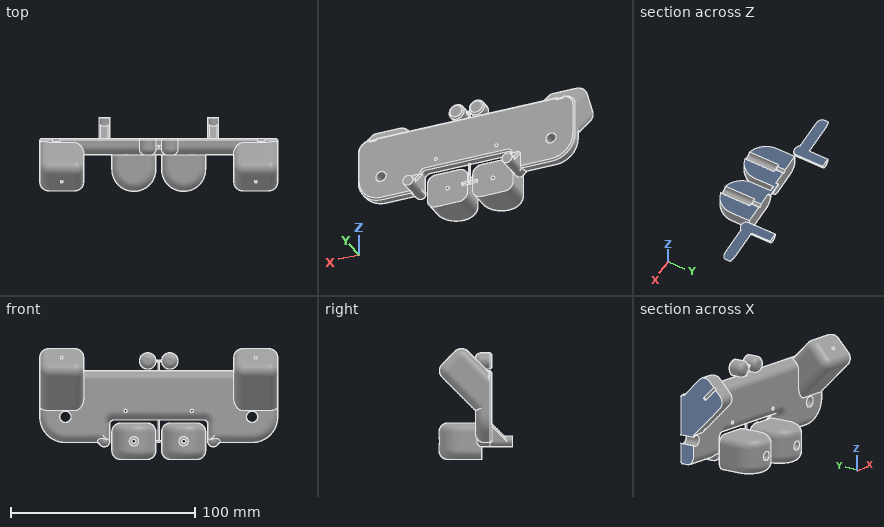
import cadquery as cq
import math

PLATE_WIDTH = 129.2
PLATE_HEIGHT = 39.0
PLATE_DEPTH = 9.0
FRONT_ROUND = 5.0
BACK_CHAMFER = 1.0
TOP_CORNER_RADIUS = 7.0
BOTTOM_CORNER_RADIUS = 14.0
NOTCH_WIDTH = 53.0
NOTCH_HEIGHT = 12.2
NOTCH_CORNER_RADIUS = 2.0
MOUNT_HOLE_DIAMETER = 6.0
CORD_HOLE_DIAMETER = 1.6
CORD_HOLE_X = 18.0

ARM_WIDTH = 24.0
ARM_THICKNESS = 20.0
ARM_LENGTH = 43.3
ARM_TILT = 45.0
ARM_ROUND = 5.0
ARM_HOLE_DIAMETER = 1.6
ARM_HOLE_DEPTH = 10.0
ARM_X = (PLATE_WIDTH - ARM_WIDTH) / 2

BEVEL_WIDTH = 4.1
BEVEL_DEPTH = 1.8
BEVEL_X = PLATE_WIDTH / 2 - TOP_CORNER_RADIUS - BEVEL_WIDTH / 2

PEG_DIAMETER = 6.0
PEG_RADIUS = PEG_DIAMETER / 2
PEG_LENGTH = 11.2
PEG_X = NOTCH_WIDTH / 2 + PEG_RADIUS
PEG_Z = 0.7
FOOT_LENGTH = 4.0
FOOT_ANGLE = 45.0
FOOT_CENTER_Y = -5.2
GUSSET_LEG = 9.5
GUSSET_CHAMFER = 1.0

PAD_WIDTH = 24.0
PAD_HEIGHT = 20.0
PAD_BACK_Y = -5.5
PAD_FRONT_Y = -28.8
PAD_ROUND = 5.0
PAD_X = 13.5
PAD_Z = 0.75
PAD_HOLE_DIAMETER = 2.1
PAD_COUNTERBORE_DIAMETER = 5.0
PAD_FLOOR = 5.0

BUTTON_DIAMETER = 9.0
BUTTON_LENGTH = 9.0
BUTTON_ROUND = 3.0
BUTTON_CHAMFER = 1.0
BUTTON_X = 6.0
BUTTON_Z = 44.3

RUNNER_THICKNESS = 1.0
RUNNER_ANCHOR = 3.0
STEM_Y = -4.4
STEM_TIP = 0.1
CROSSBAR_BACK_Y = -4.0
CROSSBAR_DEPTH = 1.8


def pair(shape):
    """The shape together with its mirror image across X = 0."""
    return shape.union(shape.mirror("YZ"))


def rod_y(diameter, x, z, y_front, y_back):
    """Cylinder along Y."""
    return (
        cq.Workplane("XZ", origin=(x, y_back, z))
        .circle(diameter / 2)
        .extrude(y_back - y_front)
    )


def make_plate():
    """Rounded plate with a bottom notch, rounded in front and chamfered at the back."""
    blank = cq.Workplane("XZ").rect(PLATE_WIDTH, PLATE_HEIGHT).extrude(PLATE_DEPTH)
    blank = blank.translate((0, 0, PLATE_HEIGHT / 2))
    blank = blank.edges("|Y and >Z").fillet(TOP_CORNER_RADIUS)
    blank = blank.edges("|Y and <Z").fillet(BOTTOM_CORNER_RADIUS)
    notch = (
        cq.Workplane("XZ")
        .rect(NOTCH_WIDTH, 2 * NOTCH_HEIGHT)
        .extrude(PLATE_DEPTH)
        .edges("|Y and >Z")
        .fillet(NOTCH_CORNER_RADIUS)
    )
    plate = blank.cut(notch)
    plate = plate.faces("<Y").edges().fillet(FRONT_ROUND)
    return plate.faces(">Y").edges().chamfer(BACK_CHAMFER)


def make_arm():
    """Left arm: a rounded bar whose lower front corner is level with the plate top."""
    lean = math.radians(ARM_TILT)
    reach = ARM_LENGTH * math.sin(lean)
    bottom_z = PLATE_HEIGHT - ARM_LENGTH * math.cos(lean)
    bar = cq.Workplane("XY").box(
        ARM_WIDTH, ARM_LENGTH + ARM_THICKNESS, ARM_THICKNESS, centered=(True, False, False)
    )
    bar = bar.translate((0, -ARM_LENGTH, 0))
    bar = bar.edges("|Y").fillet(ARM_ROUND)
    bar = bar.faces("<Y").edges().fillet(ARM_ROUND)
    hole = rod_y(ARM_HOLE_DIAMETER, 0, ARM_THICKNESS / 2, -ARM_LENGTH, ARM_HOLE_DEPTH - ARM_LENGTH)
    bar = bar.cut(hole)
    bar = bar.rotate((0, 0, 0), (1, 0, 0), -ARM_TILT)
    bar = bar.translate((-ARM_X, 0, bottom_z))
    front_half = cq.Workplane("XY").box(
        PLATE_WIDTH, 2 * reach, 4 * PLATE_HEIGHT, centered=(True, False, True)
    )
    return bar.intersect(front_half.translate((0, -2 * reach - BACK_CHAMFER, 0)))


def make_bevel():
    """Wedge removed from the top back edge behind the left arm."""
    return (
        cq.Workplane("YZ", origin=(-BEVEL_X - BEVEL_WIDTH / 2, 0, PLATE_HEIGHT))
        .polyline([(0, 0), (-BEVEL_DEPTH, 0), (0, -BEVEL_DEPTH)])
        .close()
        .extrude(BEVEL_WIDTH)
    )


def make_foot():
    """Bar of peg width with a rounded front and a ball end, running diagonally into the plate."""
    arc_reach = PEG_RADIUS * math.sqrt(0.5)
    half_section = (
        cq.Workplane("XY")
        .moveTo(0, -BACK_CHAMFER)
        .lineTo(PEG_RADIUS, -BACK_CHAMFER)
        .lineTo(PEG_RADIUS, FOOT_CENTER_Y)
        .threePointArc((arc_reach, FOOT_CENTER_Y - arc_reach), (0, FOOT_CENTER_Y - PEG_RADIUS))
        .close()
        .val()
    )
    end = cq.Workplane("XY").add(half_section).toPending().revolve(360, (0, 0), (0, 1))
    side = cq.Workplane("XY").add(half_section).toPending().extrude(FOOT_LENGTH)
    foot = end.union(pair(side))
    foot = foot.rotate((0, 0, 0), (0, 1, 0), -FOOT_ANGLE)
    return foot.translate((-PEG_X, 0, PEG_Z))


def make_peg():
    """Left peg with the gusset that braces it against the plate back."""
    peg = rod_y(PEG_DIAMETER, -PEG_X, PEG_Z, FOOT_CENTER_Y, PEG_LENGTH)
    gusset = (
        cq.Workplane("YZ", origin=(-PEG_X - PEG_RADIUS, 0, PEG_Z))
        .polyline([(-BACK_CHAMFER, 0), (GUSSET_LEG, 0), (-BACK_CHAMFER, GUSSET_LEG + BACK_CHAMFER)])
        .close()
        .extrude(PEG_DIAMETER)
    )
    sloped = gusset.faces(cq.selectors.DirectionMinMaxSelector(cq.Vector(0, 1, 1)))
    gusset = sloped.edges("not |X").chamfer(GUSSET_CHAMFER)
    return peg.union(gusset).union(make_foot())


def make_pad():
    """Left pad: a block with a half-round front, drilled and counterbored from the front."""
    radius = PAD_WIDTH / 2
    arc_y = PAD_FRONT_Y + radius
    pad = (
        cq.Workplane("XY", origin=(-PAD_X, 0, PAD_Z - PAD_HEIGHT / 2))
        .moveTo(-radius, PAD_BACK_Y)
        .lineTo(-radius, arc_y)
        .threePointArc((0, PAD_FRONT_Y), (radius, arc_y))
        .lineTo(radius, PAD_BACK_Y)
        .close()
        .extrude(PAD_HEIGHT)
    )
    pad = pad.edges("(>Z or <Z) and (not >Y)").fillet(PAD_ROUND)
    pad = pad.cut(rod_y(PAD_HOLE_DIAMETER, -PAD_X, PAD_Z, PAD_FRONT_Y, PAD_BACK_Y))
    return pad.cut(
        rod_y(PAD_COUNTERBORE_DIAMETER, -PAD_X, PAD_Z, PAD_FRONT_Y, PAD_BACK_Y - PAD_FLOOR)
    )


def make_button():
    button = rod_y(BUTTON_DIAMETER, -BUTTON_X, BUTTON_Z, -BUTTON_LENGTH, 0)
    button = button.faces("<Y").edges().fillet(BUTTON_ROUND)
    return button.faces(">Y").edges().chamfer(BUTTON_CHAMFER)


def make_runner(z_bar, z_plate, gap):
    """T-shaped runner: a crossbar at z_bar bridging a gap, and a stem from the plate to it."""
    crossbar = cq.Workplane("XY").box(gap + 2 * RUNNER_ANCHOR, CROSSBAR_DEPTH, RUNNER_THICKNESS)
    crossbar = crossbar.translate((0, CROSSBAR_BACK_Y - CROSSBAR_DEPTH / 2, z_bar))
    beyond_bar = math.copysign(RUNNER_THICKNESS / 2 + STEM_TIP, z_bar - z_plate)
    stem = (
        cq.Workplane("XY", origin=(0, STEM_Y, z_plate))
        .circle(RUNNER_THICKNESS / 2)
        .extrude(z_bar + beyond_bar - z_plate)
    )
    return crossbar.union(stem)


def make_plate_holes():
    mount_x = PLATE_WIDTH / 2 - BOTTOM_CORNER_RADIUS
    mount = rod_y(MOUNT_HOLE_DIAMETER, -mount_x, BOTTOM_CORNER_RADIUS, -PLATE_DEPTH, 0)
    cord_z = NOTCH_HEIGHT + FRONT_ROUND
    cord = rod_y(CORD_HOLE_DIAMETER, -CORD_HOLE_X, cord_z, -PLATE_DEPTH, 0)
    return pair(mount.union(cord))


button_gap = 2 * BUTTON_X - BUTTON_DIAMETER
pad_gap = 2 * PAD_X - PAD_WIDTH

result = make_plate()
for side_part in (make_arm(), make_peg(), make_pad(), make_button()):
    result = result.union(pair(side_part))
result = result.union(make_runner(BUTTON_Z, PLATE_HEIGHT - RUNNER_ANCHOR, button_gap))
result = result.union(make_runner(PAD_Z, NOTCH_HEIGHT + RUNNER_ANCHOR, pad_gap))
result = result.cut(make_plate_holes())
result = result.cut(pair(make_bevel()))